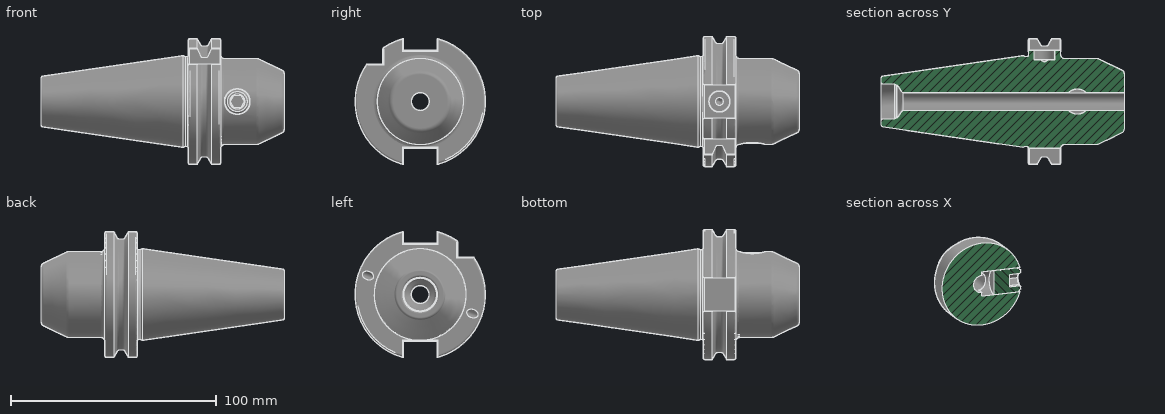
import cadquery as cq
import math


TOTAL_LENGTH = 118.4
GAUGE_PLANE_X = 68.4
GAUGE_RADIUS = 22.3
TAPER_RATIO = 7 / 24 / 2
TAPER_END_X = 69.0
RELIEF_END_X = 70.2
NECK_RADIUS = 21.9
NECK_FILLET = 0.4
SMALL_END_FILLET = 1.2

FLANGE_START_X = 71.5
FLANGE_END_X = 87.5
FLANGE_RADIUS = 31.7
FLANGE_FILLET = 1.01

GROOVE_CENTER_X = 79.5
GROOVE_HALF_WIDTH = 3.5
GROOVE_DEPTH = 3.5
GROOVE_WALL_ANGLE = 30.0
GROOVE_FLOOR_FILLET = 1.1

NOSE_RADIUS = 21.0
NOSE_ROOT_FILLET = 1.7
NOSE_CONE_START_X = 105.4
NOSE_CONE_ANGLE = 25.6
NOSE_FILLET = 2.5

SLOT_WIDTH = 16.1
TOP_SLOT_FLOOR = 25.0
BOTTOM_SLOT_FLOOR = 22.7
NOTCH_WALL = 18.4
NOTCH_FLOOR = 18.4
SLOT_CHAMFER = 0.6
RIM_CHAMFER = 0.4

POCKET_RADIUS = 5.0
POCKET_DEPTH = 4.6
POCKET_CHAMFER = 0.2
POINT_RADIUS = 1.9
POINT_ANGLE = 118.0

MOUTH_RADIUS = 8.4
MOUTH_FILLET = 1.01
MOUTH_END_X = 6.6
SEAT_RADIUS = 7.9
SEAT_START_X = 7.2
SEAT_END_X = 7.7
CONE_START_RADIUS = 7.0
BORE_CHAMFER_RADIUS = 5.1
BORE_RADIUS = 4.3

COOLANT_RADIUS = 2.0
COOLANT_PITCH_RADIUS = 27.0
COOLANT_START_ANGLE = 20.0
COOLANT_TILT = 45.0
COOLANT_DEPTH = 14.2

SCREW_X = 95.4
SCREW_RADIUS = 6.0
SCREW_HOLE_CHAMFER = 0.2
SCREW_HEAD_Y = -20.4
SCREW_LENGTH = 14.2
SCREW_CHAMFER = 1.2
HEX_ACROSS_FLATS = 6.0
HEX_DEPTH = 5.9
HEX_MOUTH_RADIUS = 3.7


def revolve_about_x(profile):
    """Turn a closed profile, drawn as X against radius, about the X axis."""
    return profile.close().revolve(360, (0, 0, 0), (1, 0, 0))


def fillet_circles(body, size, *places):
    """Round the turned edges that pass through the given (x, radius) places."""
    tolerance = 0.001

    def is_wanted(edge):
        return edge.geomType() == "CIRCLE" and any(
            abs(edge.startPoint().x - x) < tolerance and abs(edge.radius() - radius) < tolerance
            for x, radius in places
        )

    return body.edges().filter(is_wanted).fillet(size)


def taper_radius(x):
    return GAUGE_RADIUS - (GAUGE_PLANE_X - x) * TAPER_RATIO


def turned_blank():
    small_end_radius = taper_radius(0)
    taper_end_radius = taper_radius(TAPER_END_X)
    nose_end_radius = NOSE_RADIUS - (TOTAL_LENGTH - NOSE_CONE_START_X) * math.tan(
        math.radians(NOSE_CONE_ANGLE)
    )
    blank = revolve_about_x(
        cq.Workplane("XZ")
        .moveTo(0, 0)
        .lineTo(0, small_end_radius)
        .lineTo(TAPER_END_X, taper_end_radius)
        .lineTo(RELIEF_END_X, NECK_RADIUS)
        .lineTo(FLANGE_START_X, NECK_RADIUS)
        .lineTo(FLANGE_START_X, FLANGE_RADIUS)
        .lineTo(FLANGE_END_X, FLANGE_RADIUS)
        .lineTo(FLANGE_END_X, NOSE_RADIUS)
        .lineTo(NOSE_CONE_START_X, NOSE_RADIUS)
        .lineTo(TOTAL_LENGTH, nose_end_radius)
        .lineTo(TOTAL_LENGTH, 0)
    )
    blank = fillet_circles(blank, SMALL_END_FILLET, (0, small_end_radius))
    blank = fillet_circles(blank, NECK_FILLET, (FLANGE_START_X, NECK_RADIUS))
    blank = fillet_circles(
        blank, FLANGE_FILLET, (FLANGE_START_X, FLANGE_RADIUS), (FLANGE_END_X, FLANGE_RADIUS)
    )
    blank = fillet_circles(blank, NOSE_ROOT_FILLET, (FLANGE_END_X, NOSE_RADIUS))
    return fillet_circles(
        blank, NOSE_FILLET, (NOSE_CONE_START_X, NOSE_RADIUS), (TOTAL_LENGTH, nose_end_radius)
    )


def groove_cutter():
    floor_radius = FLANGE_RADIUS - GROOVE_DEPTH
    floor_half_width = GROOVE_HALF_WIDTH - GROOVE_DEPTH * math.tan(math.radians(GROOVE_WALL_ANGLE))
    floor_start_x = GROOVE_CENTER_X - floor_half_width
    floor_end_x = GROOVE_CENTER_X + floor_half_width
    outer_radius = FLANGE_RADIUS + GROOVE_DEPTH
    cutter = revolve_about_x(
        cq.Workplane("XZ")
        .moveTo(floor_start_x, floor_radius)
        .lineTo(GROOVE_CENTER_X - GROOVE_HALF_WIDTH, FLANGE_RADIUS)
        .lineTo(GROOVE_CENTER_X - GROOVE_HALF_WIDTH, outer_radius)
        .lineTo(GROOVE_CENTER_X + GROOVE_HALF_WIDTH, outer_radius)
        .lineTo(GROOVE_CENTER_X + GROOVE_HALF_WIDTH, FLANGE_RADIUS)
        .lineTo(floor_end_x, floor_radius)
    )
    return fillet_circles(
        cutter, GROOVE_FLOOR_FILLET, (floor_start_x, floor_radius), (floor_end_x, floor_radius)
    )


def slot_cutter(y_min, y_max, z_min, z_max):
    """A straight slot through the flange, chamfered where it meets both flange faces."""
    width = y_max - y_min
    height = z_max - z_min
    center = ((y_min + y_max) / 2, (z_min + z_max) / 2)
    flange_start = cq.Workplane("YZ", origin=(FLANGE_START_X, 0, 0)).center(*center)
    cutter = flange_start.rect(width, height).extrude(FLANGE_END_X - FLANGE_START_X)
    for face_x, inward in ((FLANGE_START_X, 1), (FLANGE_END_X, -1)):
        chamfer = (
            cq.Workplane("YZ", origin=(face_x, 0, 0))
            .center(*center)
            .rect(width + 2 * SLOT_CHAMFER, height + 2 * SLOT_CHAMFER)
            .workplane(offset=inward * SLOT_CHAMFER)
            .rect(width, height)
            .loft()
        )
        cutter = cutter.union(chamfer)
    return cutter


def rim_chamfer_cutter(y, z):
    """Square bar, turned on edge, that breaks the corner of a slot wall with the flange rim."""
    return (
        cq.Workplane("YZ", origin=(FLANGE_START_X, y, z))
        .polygon(4, 2 * RIM_CHAMFER)
        .extrude(FLANGE_END_X - FLANGE_START_X)
    )


def rim_position(offset):
    """Distance from the axis plane at which a wall at the given offset meets the flange rim."""
    return math.sqrt(FLANGE_RADIUS**2 - offset**2)


def drive_cutters():
    beyond = FLANGE_RADIUS + 1.2
    half_width = SLOT_WIDTH / 2
    rim_corners = [
        (side * half_width, end * rim_position(half_width)) for side in (-1, 1) for end in (-1, 1)
    ]
    rim_corners.append((-NOTCH_WALL, rim_position(NOTCH_WALL)))
    rim_corners.append((-rim_position(NOTCH_FLOOR), NOTCH_FLOOR))
    return [rim_chamfer_cutter(y, z) for y, z in rim_corners] + [
        slot_cutter(-half_width, half_width, TOP_SLOT_FLOOR, beyond),
        slot_cutter(-half_width, half_width, -beyond, -BOTTOM_SLOT_FLOOR),
        slot_cutter(-beyond, -NOTCH_WALL, NOTCH_FLOOR, beyond),
    ]


def pocket_cutter():
    """Round pocket with a chamfered rim and a drill point in its floor."""
    floor_z = TOP_SLOT_FLOOR - POCKET_DEPTH
    point_z = floor_z - POINT_RADIUS / math.tan(math.radians(POINT_ANGLE / 2))
    return (
        cq.Workplane("XZ")
        .moveTo(0, point_z)
        .lineTo(POINT_RADIUS, floor_z)
        .lineTo(POCKET_RADIUS, floor_z)
        .lineTo(POCKET_RADIUS, TOP_SLOT_FLOOR - POCKET_CHAMFER)
        .lineTo(POCKET_RADIUS + POCKET_CHAMFER, TOP_SLOT_FLOOR)
        .lineTo(0, TOP_SLOT_FLOOR)
        .close()
        .revolve(360, (0, 0, 0), (0, 1, 0))
        .translate((GROOVE_CENTER_X, 0, 0))
    )


def bore_cutter():
    cone_start_x = SEAT_END_X + SEAT_RADIUS - CONE_START_RADIUS
    cone_slope = math.tan(math.radians(POINT_ANGLE / 2))
    bore_chamfer_x = cone_start_x + (CONE_START_RADIUS - BORE_CHAMFER_RADIUS) / cone_slope
    return revolve_about_x(
        cq.Workplane("XZ")
        .moveTo(0, 0)
        .lineTo(0, MOUTH_RADIUS + MOUTH_FILLET)
        .radiusArc((MOUTH_FILLET, MOUTH_RADIUS), -MOUTH_FILLET)
        .lineTo(MOUTH_END_X, MOUTH_RADIUS)
        .lineTo(SEAT_START_X, SEAT_RADIUS)
        .lineTo(SEAT_END_X, SEAT_RADIUS)
        .lineTo(cone_start_x, CONE_START_RADIUS)
        .lineTo(bore_chamfer_x, BORE_CHAMFER_RADIUS)
        .lineTo(bore_chamfer_x + BORE_CHAMFER_RADIUS - BORE_RADIUS, BORE_RADIUS)
        .lineTo(TOTAL_LENGTH, BORE_RADIUS)
        .lineTo(TOTAL_LENGTH, 0)
    )


def coolant_cutters():
    """Two opposite blind holes that slope from the flange face towards the axis."""
    tilt = math.radians(COOLANT_TILT)
    direction = cq.Vector(math.cos(tilt), -math.sin(tilt), 0)
    mouth = cq.Vector(FLANGE_START_X, COOLANT_PITCH_RADIUS, 0)
    lead_in = COOLANT_RADIUS * 2
    hole = cq.Workplane(
        cq.Solid.makeCylinder(
            COOLANT_RADIUS, COOLANT_DEPTH + lead_in, mouth - direction * lead_in, direction
        )
    )
    return [
        hole.rotate((0, 0, 0), (1, 0, 0), COOLANT_START_ANGLE + half_turn) for half_turn in (0, 180)
    ]


def cut_screw_hole(holder):
    """Cut the radial hole that takes the clamping screw and opens into the bore."""
    hole = cq.Workplane("XZ", origin=(SCREW_X, 0, 0)).circle(SCREW_RADIUS).extrude(NOSE_RADIUS + 1.2)
    holder = holder.cut(hole)
    mouth = cq.selectors.BoxSelector(
        (SCREW_X - SCREW_RADIUS - 0.1, -NOSE_RADIUS - 1.2, -SCREW_RADIUS - 0.1),
        (SCREW_X + SCREW_RADIUS + 0.1, -NOSE_RADIUS + 1.2, SCREW_RADIUS + 0.1),
    )
    return holder.edges(mouth).chamfer(SCREW_HOLE_CHAMFER)


def make_holder():
    holder = turned_blank().cut(groove_cutter())
    for cutter in drive_cutters() + coolant_cutters():
        holder = holder.cut(cutter)
    holder = holder.cut(pocket_cutter()).cut(bore_cutter())
    return cut_screw_hole(holder)


def make_screw():
    head = cq.Workplane("XZ", origin=(SCREW_X, SCREW_HEAD_Y, 0))
    hex_across_corners = HEX_ACROSS_FLATS / math.cos(math.pi / 6)
    body = head.circle(SCREW_RADIUS).extrude(-SCREW_LENGTH).faces("<Y").chamfer(SCREW_CHAMFER)
    socket = head.polygon(6, hex_across_corners).extrude(-HEX_DEPTH)
    countersink = cq.Workplane(
        cq.Solid.makeCone(
            HEX_MOUTH_RADIUS,
            0,
            HEX_MOUTH_RADIUS,
            cq.Vector(SCREW_X, SCREW_HEAD_Y, 0),
            cq.Vector(0, 1, 0),
        )
    )
    return body.cut(socket).cut(countersink)


holder = make_holder()
screw = make_screw()

result = cq.Compound.makeCompound([holder.val(), screw.val()])